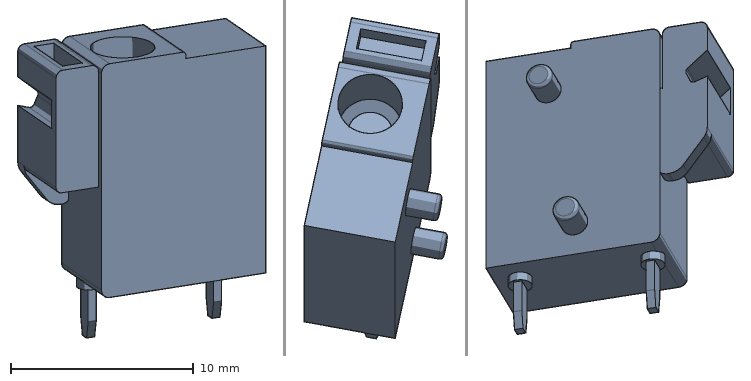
import cadquery as cq


HOUSING_WIDTH = 5.1
HOUSING_DEPTH = 10.0
HOUSING_HEIGHT = 13.6
HOUSING_FRONT_RADIUS = 0.5
STEP_Y = 5.13
STEP_DROP = 0.39
STEP_RADIUS = 0.2

HOLE_X = 2.94
HOLE_Y = 2.31
HOLE_RADIUS = 1.77
HOLE_FLOOR_RADIUS = 1.22
HOLE_STRAIGHT_DEPTH = 3.4
HOLE_TAPER_DEPTH = HOLE_RADIUS - HOLE_FLOOR_RADIUS

PEG_RADIUS = 0.75
PEG_LENGTH = 1.78
PEG_TIP_RADIUS = 0.2
PEG_CENTRES = [(6.43, 10.7), (4.9, 1.99)]

LEVER_LEFT = 0.07
LEVER_RIGHT = 4.96
LEVER_FRONT = -2.7
LEVER_GAP = 0.12
LEVER_BOTTOM = 6.48
LEVER_TOP_RADIUS = 0.4
LEVER_BOTTOM_RADIUS = 0.34

TAB_WIDTH = 0.82
TAB_TOP = 9.78
TAB_BOTTOM = 4.25
TAB_SLOPE_TOP = 6.48
TAB_SLOPE_END_Y = -1.02
TAB_RADIUS = 1.0
TAB_HEEL_LENGTH = 0.4
TAB_HEEL_RISE = 0.15

GROOVE_RIGHT = 4.35
GROOVE_PROFILE = [(LEVER_FRONT, 11.75), (-1.41, 10.65), (-1.8, 9.8), (LEVER_FRONT, 10.08)]
GROOVE_RADIUS = 0.25

SLOT_LEFT = 0.68
SLOT_RIGHT = 4.34
SLOT_FRONT = -2.0
SLOT_BACK = -0.8
SLOT_DEPTH = 1.09

PIN_X = 1.58
PIN_Y = [0.88, 8.52]
PIN_LENGTH = 3.4
PIN_WIDTH = 0.97
PIN_THICKNESS = 0.5
PIN_TIP_WIDTH = 0.55
PIN_TIP_LENGTH = 1.02
COLLAR_RADIUS = 0.66
COLLAR_LENGTH = 0.5
COLLAR_SEAT = 0.34


def block(x0, x1, y0, y1, z0, z1):
    """Box between opposite corners."""
    return cq.Workplane("XY").box(x1 - x0, y1 - y0, z1 - z0, centered=False).translate((x0, y0, z0))


def make_collar(y):
    """Round pin collar, reaching from its seat in the housing to below it."""
    return (
        cq.Workplane("XY", origin=(PIN_X, y, -COLLAR_LENGTH))
        .circle(COLLAR_RADIUS)
        .extrude(COLLAR_LENGTH + COLLAR_SEAT)
    )


def make_wire_hole():
    """Cutter for the wire hole, revolved about its vertical axis."""
    taper_start = -HOLE_STRAIGHT_DEPTH
    floor = taper_start - HOLE_TAPER_DEPTH
    return (
        cq.Workplane("XZ", origin=(HOLE_X, HOLE_Y, HOUSING_HEIGHT))
        .polyline([(0, 0), (HOLE_RADIUS, 0), (HOLE_RADIUS, taper_start), (HOLE_FLOOR_RADIUS, floor), (0, floor)])
        .close()
        .revolve(360, (0, 0, 0), (0, 1, 0))
    )


def make_peg(y, z):
    """Peg pointing to -X with a rounded tip."""
    return (
        cq.Workplane("YZ", origin=(0, y, z))
        .circle(PEG_RADIUS)
        .extrude(-PEG_LENGTH)
        .faces("<X")
        .edges()
        .fillet(PEG_TIP_RADIUS)
    )


def make_housing():
    body = block(0, HOUSING_WIDTH, 0, HOUSING_DEPTH, 0, HOUSING_HEIGHT)
    body = body.edges("|X and <Y").fillet(HOUSING_FRONT_RADIUS)
    step_floor = HOUSING_HEIGHT - STEP_DROP
    body = body.cut(block(0, HOUSING_WIDTH, STEP_Y, HOUSING_DEPTH, step_floor, HOUSING_HEIGHT))
    body = body.faces(">Z").edges(">Y").fillet(STEP_RADIUS)
    body = body.cut(make_wire_hole())
    for y, z in PEG_CENTRES:
        body = body.union(make_peg(y, z))
    for y in PIN_Y:
        body = body.cut(make_collar(y))
    return body


def make_tab():
    """Left plate of the lever: sloping front, rounded bottom and back against the housing."""
    heel_middle = (-TAB_HEEL_LENGTH / 2, TAB_BOTTOM + TAB_HEEL_RISE / 4)
    tab = (
        cq.Workplane("YZ", origin=(LEVER_LEFT, 0, 0))
        .moveTo(0, TAB_TOP)
        .lineTo(LEVER_FRONT, TAB_TOP)
        .lineTo(LEVER_FRONT, TAB_SLOPE_TOP)
        .lineTo(TAB_SLOPE_END_Y, TAB_BOTTOM)
        .lineTo(-TAB_HEEL_LENGTH, TAB_BOTTOM)
        .threePointArc(heel_middle, (0, TAB_BOTTOM + TAB_HEEL_RISE))
        .close()
        .extrude(TAB_WIDTH)
    )
    for y, z in [(LEVER_FRONT, TAB_SLOPE_TOP), (TAB_SLOPE_END_Y, TAB_BOTTOM)]:
        corner = cq.selectors.NearestToPointSelector((LEVER_LEFT + TAB_WIDTH / 2, y, z))
        tab = tab.edges(corner).fillet(TAB_RADIUS)
    return tab


def make_groove():
    """Cutter for the finger groove, with its two inner corners rounded."""
    groove = (
        cq.Workplane("YZ", origin=(LEVER_LEFT, 0, 0))
        .polyline(GROOVE_PROFILE)
        .close()
        .extrude(GROOVE_RIGHT - LEVER_LEFT)
    )
    return groove.edges("|X").edges(">Y or <Z").fillet(GROOVE_RADIUS)


def make_lever():
    lever = block(LEVER_LEFT, LEVER_RIGHT, LEVER_FRONT, -LEVER_GAP, LEVER_BOTTOM, HOUSING_HEIGHT)
    lever = lever.edges("|X and >Z").fillet(LEVER_TOP_RADIUS)
    lever = lever.faces("<Z").edges("<Y").fillet(LEVER_BOTTOM_RADIUS)
    lever = lever.union(make_tab())
    lever = lever.cut(make_groove())
    slot_floor = HOUSING_HEIGHT - SLOT_DEPTH
    return lever.cut(block(SLOT_LEFT, SLOT_RIGHT, SLOT_FRONT, SLOT_BACK, slot_floor, HOUSING_HEIGHT))


def make_pin(y):
    """Flat solder blade with a tapered tip below a round collar."""
    half_width = PIN_WIDTH / 2
    half_tip = PIN_TIP_WIDTH / 2
    taper_top = PIN_TIP_LENGTH - PIN_LENGTH
    blade = (
        cq.Workplane("XZ", origin=(PIN_X, y, 0))
        .polyline([
            (-half_width, 0),
            (half_width, 0),
            (half_width, taper_top),
            (half_tip, -PIN_LENGTH),
            (-half_tip, -PIN_LENGTH),
            (-half_width, taper_top),
        ])
        .close()
        .extrude(PIN_THICKNESS / 2, both=True)
    )
    return blade.union(make_collar(y))


housing = make_housing()
lever = make_lever()
pins = [make_pin(y) for y in PIN_Y]

result = cq.Compound.makeCompound([housing.val(), lever.val(), *[pin.val() for pin in pins]])